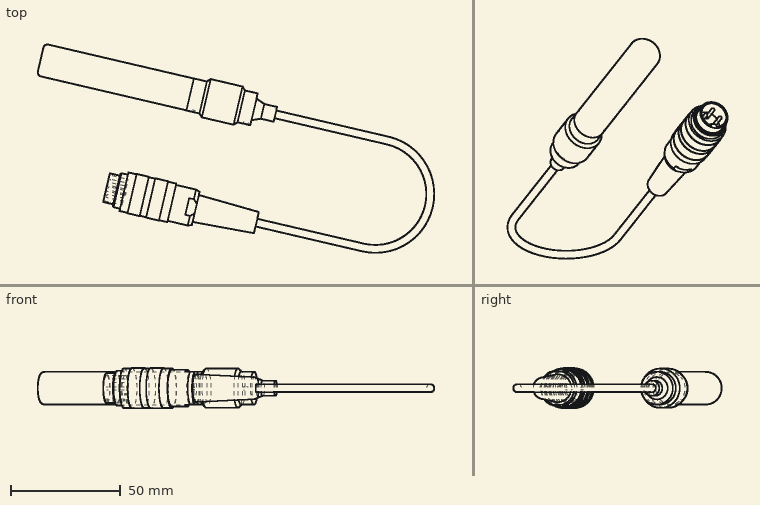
import cadquery as cq
import math

TILT = 13.13

CABLE_D = 3.7
BEND_R = 25.0
SENSOR_AXIS_Y = BEND_R
CONNECTOR_AXIS_Y = -BEND_R

TIP_X = -162.5
TIP_FILLET = 2.0
TUBE_D = 15.0
TUBE_END_X = -92.5
SLEEVE_D = 15.08
SLEEVE_END_X = -86.4
COLLAR_D = 18.0
COLLAR_END_X = -68.6
REAR_D = 15.0
REAR_END_X = -62.6
SPIGOT_BASE_D = 10.2
SPIGOT_D = 7.0
SPIGOT_TAPER_END_X = -58.6
SPIGOT_END_X = -52.6

SLEEVE_HOLE_D = 1.5
SLEEVE_HOLE_X = -89.5
REAR_HOLE_D = 2.25
REAR_HOLE_X = -65.0
SIDE_HOLE_DEPTH = 1.0

NOSE_X = -120.0
NOSE_D = 13.5
RING_X = -115.3
RING_D = 16.0
RING_BEVEL = 0.5
GRIP_X = -111.8
GRIP_END_X = -89.4
GRIP_D = 18.15
BAND_D = 18.5
BAND_SPANS = [(-108.0, -102.3), (-99.3, -93.3)]
BACK_D = 16.9
BACK_END_X = -78.2
BACK_BEVEL_LENGTH = 1.8
BACK_BEVEL_END_D = 15.6
RELIEF_BASE_D = 12.7
RELIEF_END_D = 10.0
RELIEF_END_X = -49.8
RELIEF_FILLET = 0.5

FLAT_SPACING = 15.0
FLAT_LENGTH = 4.0

SOCKET_D = 12.0
SOCKET_DEPTH = 8.6
KEY_WIDTH = 2.8
KEY_HEIGHT = 1.2
PIN_D = 1.5
PIN_LENGTH = 7.8
PIN_CIRCLE_D = 7.0
PIN_TIP_FILLET = 0.4
PIN_ANGLES = [0, 90, 180]
VACANT_HOLE_D = 2.25
VACANT_HOLE_DEPTH = 0.5
VACANT_HOLE_ANGLE = 270


def turned(profile, axis_y):
    """Revolve (x, diameter) stations about a line parallel to X at the given Y."""
    outline = [(x, axis_y + diameter / 2) for x, diameter in profile]
    first_x = profile[0][0]
    last_x = profile[-1][0]
    return (
        cq.Workplane("XY")
        .moveTo(first_x, axis_y)
        .polyline(outline, includeCurrent=True)
        .lineTo(last_x, axis_y)
        .close()
        .revolve(360, (first_x, axis_y, 0), (last_x, axis_y, 0))
    )


def rod(x_start, length, diameter, y, z):
    """Cylinder along +X."""
    return (
        cq.Workplane("YZ", origin=(x_start, y, z))
        .circle(diameter / 2)
        .extrude(length)
    )


def side_hole(x, hole_d, body_d):
    """Cutter for a blind radial hole on the -Y side of the sensor."""
    surface_y = SENSOR_AXIS_Y - body_d / 2
    return (
        cq.Workplane("XZ", origin=(x, surface_y + SIDE_HOLE_DEPTH, 0))
        .circle(hole_d / 2)
        .extrude(2 * SIDE_HOLE_DEPTH)
    )


def make_sensor():
    profile = [
        (TIP_X, TUBE_D),
        (TUBE_END_X, TUBE_D),
        (TUBE_END_X, SLEEVE_D),
        (SLEEVE_END_X, SLEEVE_D),
        (SLEEVE_END_X + (COLLAR_D - SLEEVE_D) / 2, COLLAR_D),
        (COLLAR_END_X - (COLLAR_D - REAR_D) / 2, COLLAR_D),
        (COLLAR_END_X, REAR_D),
        (REAR_END_X, REAR_D),
        (REAR_END_X, SPIGOT_BASE_D),
        (SPIGOT_TAPER_END_X, SPIGOT_D),
        (SPIGOT_END_X, SPIGOT_D),
    ]
    sensor = turned(profile, SENSOR_AXIS_Y)
    sensor = sensor.faces("<X").edges().fillet(TIP_FILLET)
    sensor = sensor.cut(side_hole(SLEEVE_HOLE_X, SLEEVE_HOLE_D, SLEEVE_D))
    return sensor.cut(side_hole(REAR_HOLE_X, REAR_HOLE_D, REAR_D))


def make_cable():
    path = (
        cq.Workplane("XY")
        .moveTo(SPIGOT_END_X, SENSOR_AXIS_Y)
        .lineTo(0, SENSOR_AXIS_Y)
        .threePointArc((BEND_R, 0), (0, CONNECTOR_AXIS_Y))
        .lineTo(RELIEF_END_X, CONNECTOR_AXIS_Y)
    )
    section = cq.Workplane("YZ", origin=(SPIGOT_END_X, SENSOR_AXIS_Y, 0)).circle(CABLE_D / 2)
    return section.sweep(path)


def connector_shell():
    profile = [
        (NOSE_X, NOSE_D),
        (RING_X, NOSE_D),
        (RING_X, RING_D - 2 * RING_BEVEL),
        (RING_X + RING_BEVEL, RING_D),
        (GRIP_X, RING_D),
        (GRIP_X, GRIP_D),
    ]
    for band_start, band_end in BAND_SPANS:
        profile += [
            (band_start, GRIP_D),
            (band_start, BAND_D),
            (band_end, BAND_D),
            (band_end, GRIP_D),
        ]
    profile += [
        (GRIP_END_X, GRIP_D),
        (GRIP_END_X, BACK_D),
        (BACK_END_X - BACK_BEVEL_LENGTH, BACK_D),
        (BACK_END_X, BACK_BEVEL_END_D),
        (BACK_END_X, RELIEF_BASE_D),
        (RELIEF_END_X, RELIEF_END_D),
    ]
    shell = turned(profile, CONNECTOR_AXIS_Y)
    return shell.faces(">X").edges().fillet(RELIEF_FILLET)


def wrench_flat_cutter(side):
    """Block that planes one wrench flat, above (side=1) or below (side=-1) the axis."""
    thickness = BACK_D - FLAT_SPACING
    return cq.Workplane("XY").box(FLAT_LENGTH, BACK_D, thickness).translate(
        (BACK_END_X - FLAT_LENGTH / 2, CONNECTOR_AXIS_Y, side * (FLAT_SPACING + thickness) / 2)
    )


def contact_position(angle):
    """Y and Z of a place on the contact circle."""
    radius = PIN_CIRCLE_D / 2
    turn = math.radians(angle)
    return CONNECTOR_AXIS_Y + radius * math.cos(turn), radius * math.sin(turn)


def make_connector():
    connector = connector_shell()
    for side in (1, -1):
        connector = connector.cut(wrench_flat_cutter(side))

    socket = rod(NOSE_X, SOCKET_DEPTH, SOCKET_D, CONNECTOR_AXIS_Y, 0)
    key = cq.Workplane("XY").box(SOCKET_DEPTH, KEY_WIDTH, KEY_HEIGHT).translate(
        (NOSE_X + SOCKET_DEPTH / 2, CONNECTOR_AXIS_Y, -(SOCKET_D - KEY_HEIGHT) / 2)
    )
    connector = connector.cut(socket.cut(key))

    floor_x = NOSE_X + SOCKET_DEPTH
    for angle in PIN_ANGLES:
        pin = rod(floor_x - PIN_LENGTH, PIN_LENGTH, PIN_D, *contact_position(angle))
        connector = connector.union(pin.faces("<X").edges().fillet(PIN_TIP_FILLET))
    vacant_hole = rod(floor_x, VACANT_HOLE_DEPTH, VACANT_HOLE_D, *contact_position(VACANT_HOLE_ANGLE))
    return connector.cut(vacant_hole)


def placed(body):
    return body.rotate((0, 0, 0), (0, 0, 1), -TILT)


sensor = placed(make_sensor())
cable = placed(make_cable())
connector = placed(make_connector())

result = cq.Compound.makeCompound([sensor.val(), cable.val(), connector.val()])